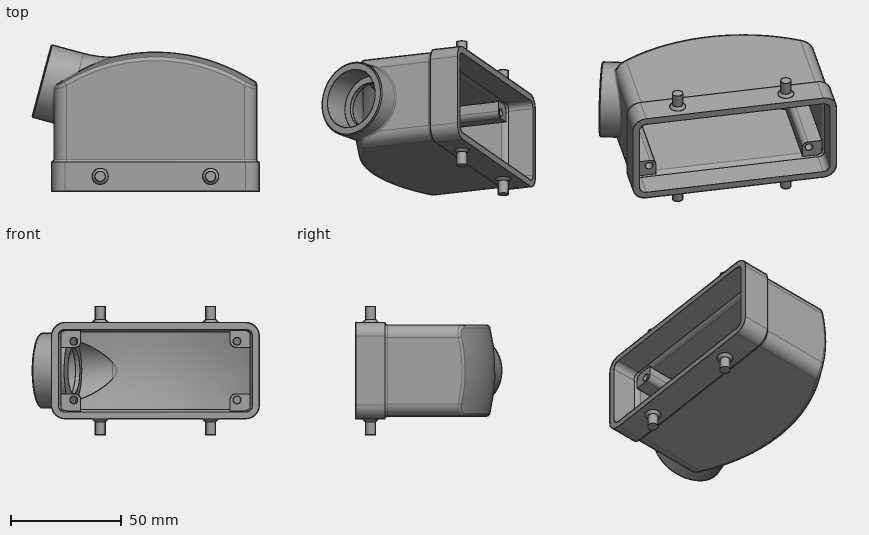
import cadquery as cq
import math


COLLAR_LENGTH = 94.0
COLLAR_HEIGHT = 43.6
COLLAR_DEPTH = 13.3
COLLAR_CORNER = 6.2

COLLAR_STEP = 1.1
SHOULDER_FILLET = 1.2
BODY_LENGTH = COLLAR_LENGTH - 2 * COLLAR_STEP
BODY_HEIGHT = COLLAR_HEIGHT - 2 * COLLAR_STEP
BODY_CORNER = 5.6

DOME_APEX = 63.1
DOME_RADIUS = 82.2
DOME_EDGE_FILLET = 1.7

WALL = 3.1
DOME_WALL = 3.5
CAVITY_LENGTH = BODY_LENGTH - 2 * WALL
CAVITY_HEIGHT = BODY_HEIGHT - 2 * WALL
CAVITY_CORNER = BODY_CORNER - WALL
POCKET_DEPTH = 12.0
LIP_RADIUS = 4.0
LIP_DEPTH = math.sqrt(LIP_RADIUS**2 - (LIP_RADIUS - COLLAR_STEP) ** 2)

POST_FRONT_Y = 12.7
POST_INNER_X = 33.8
POST_OUTER_X = CAVITY_LENGTH / 2
POST_INNER_Z = 10.5
POST_OUTER_Z = 18.3
POST_INNER_FILLET = 2.7
POST_OUTER_FILLET = 1.5
SCREW_X = 36.9
SCREW_Z = 13.3
SCREW_HOLE_DIAMETER = 3.5

ENTRY_X = -51.5
ENTRY_Y = 49.9
ENTRY_TILT = 15.0
ENTRY_DIAMETER = 34.0
ENTRY_LENGTH = 15.1
ENTRY_RIM_CHAMFER = 0.5
ENTRY_ROOT_FILLET = 0.6
ENTRY_BORE_DIAMETER = 27.0
ENTRY_HOLE_DIAMETER = 21.0
ENTRY_SEAT_THICKNESS = 2.1
ELBOW_RADIUS = 67.8
ELBOW_RUN = 20.5
ELBOW_BORE_DIAMETER = 27.7

PIN_X = 25.0
PIN_Y = 6.8
PIN_SPAN = 58.0
PIN_DIAMETER = 4.6
PIN_FOOT_FLARE = 1.3

MARGIN = 10.3


def rounded_block(length, height, corner, depth):
    """Block centred on the Y axis, from Y = 0 to the depth, with rounded edges along Y."""
    block = cq.Workplane("XY").box(length, depth, height).translate((0, depth / 2, 0))
    return block.edges("|Y").fillet(corner)


def wide_plate(start, end):
    """Plate across Y that is larger than the collar on every side."""
    plate = cq.Workplane("XY").box(COLLAR_LENGTH + 2 * MARGIN, end - start, COLLAR_HEIGHT + 2 * MARGIN)
    return plate.translate((0, (start + end) / 2, 0))


def dome_sphere(inset):
    return cq.Workplane("XY").sphere(DOME_RADIUS - inset).translate((0, DOME_APEX - DOME_RADIUS, 0))


def shortest_wire_edges(face):
    """Edges of the inner outline of a face that has one opening."""
    return face.wires(cq.selectors.LengthNthSelector(0)).edges()


def hood_shell():
    """Domed body with the collar around its mouth and a concave fillet between the two."""
    body = rounded_block(BODY_LENGTH, BODY_HEIGHT, BODY_CORNER, DOME_APEX).intersect(dome_sphere(0))
    body = body.faces("%SPHERE").edges().fillet(DOME_EDGE_FILLET)
    body = body.union(wide_plate(0, COLLAR_DEPTH))
    shoulder = shortest_wire_edges(body.faces("|Y").faces(">Y"))
    body = shoulder.fillet(SHOULDER_FILLET)
    return body.intersect(rounded_block(COLLAR_LENGTH, COLLAR_HEIGHT, COLLAR_CORNER, DOME_APEX + MARGIN))


def entry_plane(distance):
    """Plane across the cable entry, at a distance inward from its rim; local X lies in the XY plane."""
    tilt = math.radians(ENTRY_TILT)
    inward = cq.Vector(math.cos(tilt), -math.sin(tilt), 0)
    across = cq.Vector(math.sin(tilt), math.cos(tilt), 0)
    return cq.Plane(cq.Vector(ENTRY_X, ENTRY_Y, 0) + inward * distance, across, inward)


def entry_cylinder(diameter, length):
    return cq.Workplane(entry_plane(0)).circle(diameter / 2).extrude(length)


def entry_elbow(diameter):
    """Bend that turns the tube from its tilt to the X direction, and the straight run behind it."""
    profile = cq.Workplane(entry_plane(ENTRY_LENGTH)).circle(diameter / 2)
    bend = profile.revolve(ENTRY_TILT, (ELBOW_RADIUS, 0, 0), (ELBOW_RADIUS, 1, 0))
    run = bend.faces(">X").wires().toPending().workplane().extrude(ELBOW_RUN, combine=False)
    return bend.union(run)


def add_cable_entry(hood):
    tube = entry_cylinder(ENTRY_DIAMETER, ENTRY_LENGTH).faces("<X").chamfer(ENTRY_RIM_CHAMFER)
    entry = tube.union(entry_elbow(ENTRY_DIAMETER))
    entry_radius = ENTRY_DIAMETER / 2
    joint_reach = cq.selectors.BoxSelector(
        (-BODY_LENGTH / 2 - 1, COLLAR_DEPTH + MARGIN, -entry_radius), (-1, DOME_APEX, entry_radius)
    )
    joint = hood.union(entry).edges(joint_reach).edges("%BSPLINE or %ELLIPSE")
    return joint.fillet(ENTRY_ROOT_FILLET)


def screw_post(x_side, z_side):
    """Corner post with its screw hole, long enough to run into the dome."""
    post = cq.Workplane("XY").box(
        POST_OUTER_X - POST_INNER_X, DOME_APEX, POST_OUTER_Z - POST_INNER_Z, centered=False
    )
    post = post.edges("|Y and <X and <Z").fillet(POST_INNER_FILLET)
    post = post.edges("|Y and >X and >Z").fillet(POST_OUTER_FILLET)
    post = post.translate((POST_INNER_X, POST_FRONT_Y, POST_INNER_Z))
    hole = cq.Workplane("XZ", origin=(SCREW_X, 0, SCREW_Z)).circle(SCREW_HOLE_DIAMETER / 2)
    post = post.cut(hole.extrude(-2 * DOME_APEX))
    if x_side < 0:
        post = post.mirror("YZ")
    if z_side < 0:
        post = post.mirror("XY")
    return post


def collar_pocket():
    """Pocket in the collar whose rear narrows to the cavity around a rounded lip."""
    lip_end = POCKET_DEPTH + LIP_DEPTH
    lip = wide_plate(lip_end - LIP_RADIUS, lip_end + LIP_RADIUS)
    lip = lip.cut(rounded_block(CAVITY_LENGTH, CAVITY_HEIGHT, CAVITY_CORNER, DOME_APEX))
    lip = shortest_wire_edges(lip.faces("<Y")).fillet(LIP_RADIUS)
    pocket = rounded_block(
        COLLAR_LENGTH - 2 * WALL, COLLAR_HEIGHT - 2 * WALL, COLLAR_CORNER - WALL, lip_end
    )
    return pocket.cut(lip)


def cavity():
    """Space inside the housing, with the entry tube's inner end and the screw posts left standing in it."""
    space = rounded_block(CAVITY_LENGTH, CAVITY_HEIGHT, CAVITY_CORNER, DOME_APEX)
    space = space.intersect(dome_sphere(DOME_WALL))
    space = space.cut(entry_cylinder(ENTRY_DIAMETER, ENTRY_LENGTH))
    space = space.union(entry_elbow(ELBOW_BORE_DIAMETER)).union(collar_pocket())
    for x_side in (-1, 1):
        for z_side in (-1, 1):
            space = space.cut(screw_post(x_side, z_side))
    return space


def make_housing():
    housing = add_cable_entry(hood_shell()).cut(cavity())
    housing = housing.cut(entry_cylinder(ENTRY_BORE_DIAMETER, ENTRY_LENGTH - ENTRY_SEAT_THICKNESS))
    return housing.cut(entry_cylinder(ENTRY_HOLE_DIAMETER, ENTRY_LENGTH))


def make_pin(x, z_side):
    """Pin with a conical foot, standing on the upper or lower collar face."""
    radius = PIN_DIAMETER / 2
    length = (PIN_SPAN - COLLAR_HEIGHT) / 2
    pin = cq.Workplane("XY").circle(radius).extrude(length)
    foot = cq.Solid.makeCone(radius + PIN_FOOT_FLARE, radius, PIN_FOOT_FLARE)
    pin = pin.union(cq.Workplane(foot)).translate((x, PIN_Y, COLLAR_HEIGHT / 2))
    if z_side < 0:
        pin = pin.mirror("XY")
    return pin


housing = make_housing()
pins = [make_pin(x, z_side).val() for x in (-PIN_X, PIN_X) for z_side in (-1, 1)]
result = cq.Compound.makeCompound([housing.val(), *pins])